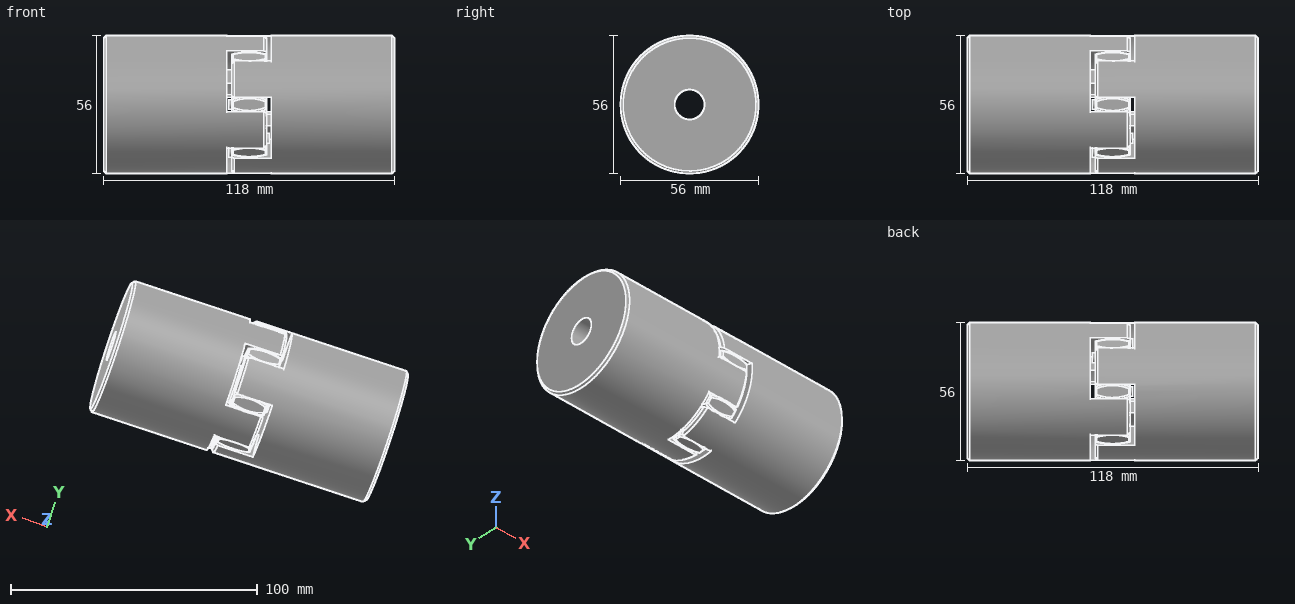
import cadquery as cq
import math


overall_length = 118.0
hub_diameter = 56.0
hub_bore_diameter = 12.0
hub_gap = 17.9
hub_chamfer = 1.1

jaws_per_hub = 4
jaw_reach = 7.1
jaw_inner_radius = 16.5
overrun = 0.6

flank_radius = 15.7
flank_centre_radial = 20.8
tooth_space_width = 9.2

spider_width = 14.2
spider_radius = 27.5
spider_bore_diameter = 27.0
tooth_chamfer = 0.6
crown_radius = 21.2
clearance = 0.1
pad_radius = 2.0
pad_circle_radius = 19.4
pad_height = 1.2

hub_radius = hub_diameter / 2
hub_length = (overall_length - hub_gap) / 2
jaw_length = hub_gap / 2 + jaw_reach
jaw_pitch = 360.0 / jaws_per_hub
tooth_count = 2 * jaws_per_hub
tooth_pitch = 360.0 / tooth_count
flank_centre_offset = flank_radius - tooth_space_width / 2


def turned(body, angle):
    """Turn a body about the coupling axis, from +Y towards +Z."""
    return body.rotate((0, 0, 0), (1, 0, 0), angle)


def jaw_side_point(radius, side):
    """Point on one side (+1 or -1) of a jaw centred on +Y, at a distance from the coupling axis."""
    centre_distance = math.hypot(flank_centre_radial, flank_centre_offset)
    centre_angle = math.atan2(flank_centre_offset, flank_centre_radial)
    reach_angle = math.acos(
        (centre_distance**2 + radius**2 - flank_radius**2) / (2 * centre_distance * radius)
    )
    half_space_angle = reach_angle - centre_angle
    angle = side * (math.radians(tooth_pitch / 2) - half_space_angle)
    return (radius * math.cos(angle), radius * math.sin(angle))


def make_jaw_prism():
    """Prism with the cross-section of a jaw centred on +Y, standing out beyond the hub's outer side."""
    overrun_radius = hub_radius + overrun
    middle_radius = (jaw_inner_radius + overrun_radius) / 2
    return (
        cq.Workplane("YZ", origin=(-hub_gap / 2, 0, 0))
        .moveTo(*jaw_side_point(jaw_inner_radius, -1))
        .threePointArc(jaw_side_point(middle_radius, -1), jaw_side_point(overrun_radius, -1))
        .threePointArc((overrun_radius, 0), jaw_side_point(overrun_radius, 1))
        .threePointArc(jaw_side_point(middle_radius, 1), jaw_side_point(jaw_inner_radius, 1))
        .threePointArc((jaw_inner_radius, 0), jaw_side_point(jaw_inner_radius, -1))
        .close()
        .extrude(jaw_length)
    )


def make_jaw_clearance():
    """Everything to take away between and inside the jaws of the left hub."""
    space = (
        cq.Workplane("YZ", origin=(-hub_gap / 2, 0, 0))
        .circle(hub_radius + 2 * overrun)
        .extrude(jaw_length)
    )
    jaw = make_jaw_prism()
    for index in range(jaws_per_hub):
        space = space.cut(turned(jaw, tooth_pitch / 2 + index * jaw_pitch))
    return space


def make_hub():
    """Left hub: one bored cylinder, chamfered at both ends and cut away around its jaws."""
    hub = (
        cq.Workplane("YZ", origin=(-overall_length / 2, 0, 0))
        .circle(hub_radius)
        .extrude(hub_length + jaw_length)
        .faces("<X or >X")
        .chamfer(hub_chamfer)
    )
    bore = (
        cq.Workplane("YZ", origin=(-overall_length / 2, 0, 0))
        .circle(hub_bore_diameter / 2)
        .extrude(hub_length)
    )
    return hub.cut(bore).cut(make_jaw_clearance())


def make_tooth(root_radius):
    """Barrel-shaped tooth along +Y: the overlap of two bodies turned about lines parallel to Y."""
    side_radius = flank_radius - clearance
    turning_line = tooth_space_width / 2 - clearance - crown_radius

    def side_point(radial):
        rise = math.sqrt(side_radius**2 - (radial - flank_centre_radial)**2)
        return (radial, rise - flank_centre_offset)

    barrel = (
        cq.Workplane("YZ")
        .moveTo(root_radius, turning_line)
        .lineTo(*side_point(root_radius))
        .threePointArc(side_point(flank_centre_radial), side_point(hub_radius))
        .lineTo(hub_radius, turning_line)
        .close()
        .revolve(360, (0, turning_line), (1, turning_line))
    )
    envelope = cq.Workplane("YZ").circle(spider_radius).extrude(spider_width / 2, both=True)
    tooth = barrel.intersect(barrel.mirror("XY")).intersect(envelope)
    return tooth.faces(">Y").edges().chamfer(tooth_chamfer)


def make_pad():
    """Spacer pad on the left side of the spider, on the middle line of the +Y tooth."""
    return (
        cq.Workplane("YZ", origin=(-spider_width / 2, pad_circle_radius, 0))
        .circle(pad_radius)
        .extrude(-pad_height)
    )


def make_spider():
    """Ring with eight teeth; the spacer pads sit on the left and right side in turn."""
    ring_radius = jaw_inner_radius - clearance
    bore_radius = spider_bore_diameter / 2
    spider = (
        cq.Workplane("YZ")
        .circle(ring_radius)
        .circle(bore_radius)
        .extrude(spider_width / 2, both=True)
    )
    tooth = make_tooth(root_radius=(ring_radius + bore_radius) / 2)
    left_pad = make_pad()
    right_pad = left_pad.mirror("YZ")
    for index in range(tooth_count):
        pad = left_pad if index % 2 == 0 else right_pad
        spider = spider.union(turned(tooth.union(pad), index * tooth_pitch))
    return spider


left_hub = make_hub()
right_hub = turned(left_hub.mirror("YZ"), tooth_pitch)
spider = make_spider()

bodies = [left_hub, right_hub, spider]
result = cq.Compound.makeCompound([body.solids().val() for body in bodies])